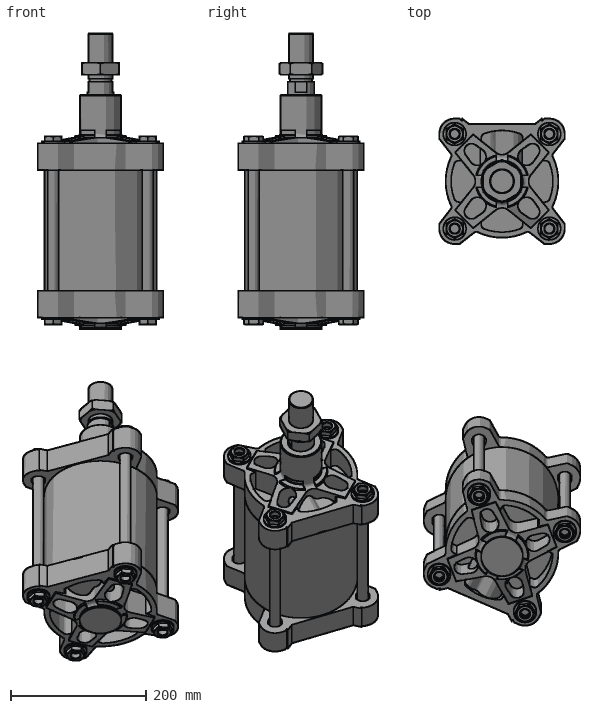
import cadquery as cq
import math

TOTAL_HEIGHT = 438.0
CAP_THICKNESS = 40.0
PILOT_RISE = 17.0
TUBE_LENGTH = 178.5
LOW_CAP_INNER_Z = PILOT_RISE + CAP_THICKNESS
TOP_CAP_INNER_Z = LOW_CAP_INNER_Z + TUBE_LENGTH
TOP_CAP_OUTER_Z = TOP_CAP_INNER_Z + CAP_THICKNESS
TUBE_DIAMETER = 167.0

CAP_DIAMETER = 167.5
CAP_HALF_WIDTH = 93.08
TIE_ROD_OFFSET = 70.0
LOBE_RADIUS = CAP_HALF_WIDTH - TIE_ROD_OFFSET
LOBE_FLAT_END = 63.0
LOBE_CORNER_FILLET = 1.8
LOBE_ROOT = (38.5, 74.0)
LOBE_ROOT_FILLET = 4.5
PORT_FLAT_Y = 85.0
PORT_FLAT_HALF_WIDTH = 49.0
PORT_FLAT_LOBE_X = 59.0
PORT_FLAT_BASE_Y = 44.0
TIE_ROD_CLEARANCE = 21.0

RIB_REACH = 79.3
RIB_END_HALF_WIDTH = 19.0
RIB_TAPER = 6.3
RIB_ROOT_FILLET = 15.5
RIB_END_RISE = 2.5
HUB_RISE = 11.0
HUB_RADIUS = 38.0
CONE_TOP_RADIUS = 39.5
CONE_TOP_RISE = 8.5

POCKET_DEPTH = 35.0
POCKET_RADIUS = 75.5
POCKET_HALF_WIDTH = 30.5
POCKET_CORNER = 7.0
SLOT_INNER_CENTRE = 51.2
SLOT_INNER_RADIUS = 12.5
SLOT_OUTER_CENTRE = 64.0
SLOT_OUTER_RADIUS = 10.5

PORT_BOSS_X = 12.3
PORT_BOSS_RADIUS = 18.0
CUSHION_BOSS_X = -20.0
CUSHION_BOSS_RADIUS = 12.3
BOSS_FILLET = 5.3
BOSS_START_Y = 17.5
BOSS_END_Y = 79.0

PILOT_DIAMETER = 62.0
PILOT_THICKNESS = 3.0
COLLAR_BOTTOM_RISE = 12.5
COLLAR_TOP_RISE = 19.3
NECK_RISE = PILOT_RISE - PILOT_THICKNESS
HUB_NECK_DIAMETER = 59.5
KEYWAY_WIDTH = 17.5
KEYWAY_FLOOR_RISE = CONE_TOP_RISE
KEYWAY_FILLET = 6.0
BARREL_DIAMETER = 61.5
BARREL_TOP_Z = 347.0
BARREL_CHAMFER = 1.5

TIE_ROD_DIAMETER = 16.0
WASHER_DIAMETER = 33.7
WASHER_THICKNESS = 2.5
TIE_NUT_RISE = 10.5
TIE_NUT_FLATS = 25.0
TIE_NUT_CHAMFER_DIAMETER = 24.0
TIE_ROD_BORE = 14.0
TIE_ROD_BORE_DEPTH = 12.0
TIE_ROD_BORE_CHAMFER = 1.0

ROD_DIAMETER = 40.0
ROD_SHOULDER_Z = 366.5
ROD_FLATS = 36.0
ROD_FLATS_BOTTOM_Z = 351.0
NECK_DIAMETER = 33.5
NECK_TOP_Z = 370.5
THREAD_DIAMETER = 36.0
THREAD_CHAMFER = 1.0

LOCK_NUT_FLATS = 55.0
LOCK_NUT_BOTTOM_Z = 376.5
LOCK_NUT_HEIGHT = 18.0
LOCK_NUT_CHAMFER_DIAMETER = 58.5

CHAMFER_SLOPE = math.tan(math.radians(30))
QUARTER_TURNS = (0, 90, 180, 270)
CORNERS = [(x, y) for x in (-TIE_ROD_OFFSET, TIE_ROD_OFFSET) for y in (-TIE_ROD_OFFSET, TIE_ROD_OFFSET)]


def cylinder(diameter, bottom, top):
    return cq.Workplane("XY").workplane(offset=bottom).circle(diameter / 2).extrude(top - bottom)


def fillet_uprights(body, places, radius):
    """Fillet the vertical edge of a body nearest to each (x, y) place."""
    height = body.val().Center().z
    for x, y in places:
        nearest = cq.selectors.NearestToPointSelector((x, y, height))
        body = body.edges("|Z").edges(nearest).fillet(radius)
    return body


def hexagon(flats, chamfer_diameter, bottom, top, chamfer_bottom):
    """Hexagonal prism with flats facing X and its corners chamfered at 30 degrees."""
    corner_radius = flats / math.sqrt(3)
    face_radius = chamfer_diameter / 2
    drop = (corner_radius - face_radius) * CHAMFER_SLOPE
    profile = cq.Workplane("XZ").moveTo(0, bottom)
    if chamfer_bottom:
        profile = profile.lineTo(face_radius, bottom).lineTo(corner_radius, bottom + drop)
    else:
        profile = profile.lineTo(corner_radius, bottom)
    profile = profile.lineTo(corner_radius, top - drop).lineTo(face_radius, top).lineTo(0, top)
    envelope = profile.close().revolve()
    prism = (
        cq.Workplane("XY").workplane(offset=bottom)
        .polygon(6, 2 * corner_radius).extrude(top - bottom)
        .rotate((0, 0, 0), (0, 0, 1), 30)
    )
    return prism.intersect(envelope)



def cap_plate():
    """Round plate with four corner lobes and a flat on the +Y side."""
    root_x, root_y = LOBE_ROOT
    middle = TIE_ROD_OFFSET + LOBE_RADIUS * math.sqrt(0.5)
    lobe = (
        cq.Workplane("XY").moveTo(0, 0)
        .lineTo(root_y, root_x)
        .lineTo(CAP_HALF_WIDTH, LOBE_FLAT_END)
        .lineTo(CAP_HALF_WIDTH, TIE_ROD_OFFSET)
        .threePointArc((middle, middle), (TIE_ROD_OFFSET, CAP_HALF_WIDTH))
        .lineTo(LOBE_FLAT_END, CAP_HALF_WIDTH)
        .lineTo(root_x, root_y)
        .close().extrude(CAP_THICKNESS)
    )
    lobe = fillet_uprights(
        lobe, [(CAP_HALF_WIDTH, LOBE_FLAT_END), (LOBE_FLAT_END, CAP_HALF_WIDTH)], LOBE_CORNER_FILLET
    )
    plate = cylinder(CAP_DIAMETER, 0, CAP_THICKNESS)
    for turn in QUARTER_TURNS:
        plate = plate.union(lobe.rotate((0, 0, 0), (0, 0, 1), turn))
    roots = [(sx * a, sy * b) for a, b in (LOBE_ROOT, LOBE_ROOT[::-1]) for sx in (-1, 1) for sy in (-1, 1)]
    plate = fillet_uprights(plate, roots, LOBE_ROOT_FILLET)
    flat = (
        cq.Workplane("XY")
        .polyline([
            (-PORT_FLAT_LOBE_X, PORT_FLAT_BASE_Y),
            (PORT_FLAT_LOBE_X, PORT_FLAT_BASE_Y),
            (PORT_FLAT_LOBE_X, CAP_HALF_WIDTH),
            (PORT_FLAT_HALF_WIDTH, PORT_FLAT_Y),
            (-PORT_FLAT_HALF_WIDTH, PORT_FLAT_Y),
            (-PORT_FLAT_LOBE_X, CAP_HALF_WIDTH),
        ])
        .close().extrude(CAP_THICKNESS)
    )
    return plate.union(flat)


def rib_cross(height):
    """Prism of the four diagonal ribs, widening inward and filleted where they meet."""
    inward_slope = math.tan(math.radians(45 - RIB_TAPER))
    corner_x = (RIB_REACH - RIB_END_HALF_WIDTH) * math.sqrt(0.5)
    corner_y = (RIB_REACH + RIB_END_HALF_WIDTH) * math.sqrt(0.5)
    root = corner_y - corner_x * inward_slope
    points = []
    for turn in QUARTER_TURNS:
        c = math.cos(math.radians(turn))
        s = math.sin(math.radians(turn))
        for x, y in ((corner_y, corner_x), (corner_x, corner_y), (0, root)):
            points.append((x * c - y * s, x * s + y * c))
    cross = cq.Workplane("XY").polyline(points).close().extrude(height)
    return fillet_uprights(cross, points[2::3], RIB_ROOT_FILLET)


def raised_cone():
    """Shallow cone that gives the ribs their sloping top, with the flat hub on it."""
    slope = (CONE_TOP_RISE - RIB_END_RISE) / (RIB_REACH - CONE_TOP_RADIUS)
    outer_radius = CAP_HALF_WIDTH
    outer_rise = RIB_END_RISE - slope * (outer_radius - RIB_REACH)
    return (
        cq.Workplane("XZ")
        .moveTo(0, 0)
        .lineTo(outer_radius, 0)
        .lineTo(outer_radius, CAP_THICKNESS + outer_rise)
        .lineTo(CONE_TOP_RADIUS, CAP_THICKNESS + CONE_TOP_RISE)
        .lineTo(HUB_RADIUS, CAP_THICKNESS + HUB_RISE)
        .lineTo(0, CAP_THICKNESS + HUB_RISE)
        .close().revolve()
    )


def pocket(cross):
    """Pocket on the +Y side, bounded by the two ribs next to it."""
    floor = CAP_THICKNESS - POCKET_DEPTH
    side_y = math.sqrt(POCKET_RADIUS ** 2 - POCKET_HALF_WIDTH ** 2)
    blank = (
        cq.Workplane("XY").workplane(offset=floor)
        .moveTo(-POCKET_HALF_WIDTH, 0)
        .lineTo(POCKET_HALF_WIDTH, 0)
        .lineTo(POCKET_HALF_WIDTH, side_y)
        .threePointArc((0, POCKET_RADIUS), (-POCKET_HALF_WIDTH, side_y))
        .close().extrude(POCKET_DEPTH)
        .edges("|Z").edges(">Y").fillet(POCKET_CORNER)
    )
    return cq.Workplane(blank.cut(cross).solids(">Y").val())


def rib_slot():
    """Slot in the rib toward +X +Y with two round ends, the larger one at the hub."""
    floor = CAP_THICKNESS - POCKET_DEPTH
    sine = (SLOT_INNER_RADIUS - SLOT_OUTER_RADIUS) / (SLOT_OUTER_CENTRE - SLOT_INNER_CENTRE)
    cosine = math.sqrt(1 - sine ** 2)
    inner_x = SLOT_INNER_CENTRE + SLOT_INNER_RADIUS * sine
    inner_y = SLOT_INNER_RADIUS * cosine
    outer_x = SLOT_OUTER_CENTRE + SLOT_OUTER_RADIUS * sine
    outer_y = SLOT_OUTER_RADIUS * cosine
    slot = (
        cq.Workplane("XY").workplane(offset=floor)
        .moveTo(inner_x, -inner_y)
        .lineTo(outer_x, -outer_y)
        .threePointArc((SLOT_OUTER_CENTRE + SLOT_OUTER_RADIUS, 0), (outer_x, outer_y))
        .lineTo(inner_x, inner_y)
        .threePointArc((SLOT_INNER_CENTRE - SLOT_INNER_RADIUS, 0), (inner_x, -inner_y))
        .close().extrude(POCKET_DEPTH + HUB_RISE)
    )
    return slot.rotate((0, 0, 0), (0, 0, 1), 45)


def port_bosses():
    """Port and cushion bosses with a filleted web between them."""
    axis_z = CAP_THICKNESS / 2
    length = BOSS_END_Y - BOSS_START_Y
    spacing = PORT_BOSS_X - CUSHION_BOSS_X
    to_cushion = CUSHION_BOSS_RADIUS + BOSS_FILLET
    to_port = PORT_BOSS_RADIUS + BOSS_FILLET
    along = (to_cushion ** 2 - to_port ** 2 + spacing ** 2) / (2 * spacing)
    rise = math.sqrt(to_cushion ** 2 - along ** 2)
    fillet_x = CUSHION_BOSS_X + along

    def bar(x, z, radius):
        plane = cq.Workplane("XZ", origin=(0, BOSS_START_Y, 0))
        return plane.center(x, z).circle(radius).extrude(-length)

    web = (
        cq.Workplane("XZ", origin=(0, BOSS_START_Y, 0))
        .polyline([
            (CUSHION_BOSS_X, axis_z),
            (fillet_x, axis_z + rise),
            (PORT_BOSS_X, axis_z),
            (fillet_x, axis_z - rise),
        ])
        .close().extrude(-length)
    )
    for side in (-1, 1):
        web = web.cut(bar(fillet_x, axis_z + side * rise, BOSS_FILLET))
    bosses = web.union(bar(CUSHION_BOSS_X, axis_z, CUSHION_BOSS_RADIUS))
    return bosses.union(bar(PORT_BOSS_X, axis_z, PORT_BOSS_RADIUS))


def keyway_bars(height):
    """Cross of two bars that sets the width of the four keyways."""
    bar = cq.Workplane("XY").rect(2 * RIB_REACH, KEYWAY_WIDTH).extrude(height)
    return bar.union(bar.rotate((0, 0, 0), (0, 0, 1), 90))


def hub_neck():
    """Neck on the hub, widened at the keyways to carry their round inner ends."""
    neck = cylinder(HUB_NECK_DIAMETER, CAP_THICKNESS, CAP_THICKNESS + NECK_RISE)
    root_top = CAP_THICKNESS + KEYWAY_FLOOR_RISE + KEYWAY_FILLET
    roots = cylinder(BARREL_DIAMETER + 2 * KEYWAY_FILLET, CAP_THICKNESS, root_top)
    return neck.union(roots.intersect(keyway_bars(root_top)))


def keyways():
    """Four keyways across the hub and barrel collar, each with a round inner end."""
    inner = BARREL_DIAMETER / 2
    floor = CAP_THICKNESS + KEYWAY_FLOOR_RISE
    top = CAP_THICKNESS + COLLAR_TOP_RISE
    bend = KEYWAY_FILLET * (1 - math.sqrt(0.5))
    ring = (
        cq.Workplane("XZ")
        .moveTo(inner, top)
        .lineTo(inner, floor + KEYWAY_FILLET)
        .threePointArc((inner + bend, floor + bend), (inner + KEYWAY_FILLET, floor))
        .lineTo(RIB_REACH, floor)
        .lineTo(RIB_REACH, top)
        .close().revolve()
    )
    return ring.intersect(keyway_bars(top))


def end_cap():
    cross = rib_cross(CAP_THICKNESS + HUB_RISE)
    cap = cap_plate().union(cross.intersect(raised_cone()))
    one_pocket = pocket(cross)
    one_slot = rib_slot()
    openings = one_pocket.union(one_slot)
    for turn in QUARTER_TURNS[1:]:
        openings = openings.union(one_pocket.rotate((0, 0, 0), (0, 0, 1), turn))
        openings = openings.union(one_slot.rotate((0, 0, 0), (0, 0, 1), turn))
    cap = cap.cut(openings.cut(port_bosses()))
    cap = cap.union(hub_neck()).cut(keyways())
    holes = cq.Workplane("XY").pushPoints(CORNERS).circle(TIE_ROD_CLEARANCE / 2).extrude(CAP_THICKNESS)
    return cap.cut(holes)


def tie_rod_bore():
    """Blind bore with a chamfered mouth in the end of a tie rod, with the cap face at z = 0."""
    radius = TIE_ROD_BORE / 2
    return (
        cq.Workplane("XZ")
        .moveTo(0, TIE_NUT_RISE - TIE_ROD_BORE_DEPTH)
        .lineTo(radius, TIE_NUT_RISE - TIE_ROD_BORE_DEPTH)
        .lineTo(radius, TIE_NUT_RISE - TIE_ROD_BORE_CHAMFER)
        .lineTo(radius + TIE_ROD_BORE_CHAMFER, TIE_NUT_RISE)
        .lineTo(0, TIE_NUT_RISE)
        .close().revolve()
    )


def tie_rod():
    """Tie rod on the Z axis with a washer and nut at each cap."""
    washer = cylinder(WASHER_DIAMETER, 0, WASHER_THICKNESS)
    nut = hexagon(TIE_NUT_FLATS, TIE_NUT_CHAMFER_DIAMETER, WASHER_THICKNESS, TIE_NUT_RISE, False)
    hardware = washer.union(nut)
    bore = tie_rod_bore()
    rod = cylinder(TIE_ROD_DIAMETER, PILOT_RISE - TIE_NUT_RISE, TOP_CAP_OUTER_Z + TIE_NUT_RISE)
    rod = rod.union(hardware.translate((0, 0, TOP_CAP_OUTER_Z)))
    rod = rod.union(hardware.mirror("XY").translate((0, 0, PILOT_RISE)))
    rod = rod.cut(bore.translate((0, 0, TOP_CAP_OUTER_Z)))
    return rod.cut(bore.mirror("XY").translate((0, 0, PILOT_RISE)))


def barrel():
    """Barrel that guides the piston rod, with a keyed collar at its foot."""
    foot = TOP_CAP_OUTER_Z + COLLAR_BOTTOM_RISE
    sleeve = cylinder(BARREL_DIAMETER, foot, BARREL_TOP_Z).faces(">Z").edges().chamfer(BARREL_CHAMFER)
    collar = cylinder(PILOT_DIAMETER, foot, TOP_CAP_OUTER_Z + COLLAR_TOP_RISE)
    return sleeve.union(collar.cut(keyways().translate((0, 0, TOP_CAP_INNER_Z))))


def make_housing():
    """Both caps, the tube, the tie rods, the barrel and the pilot disc."""
    cap = end_cap()
    top_cap = cap.translate((0, 0, TOP_CAP_INNER_Z))
    low_cap = cap.mirror("XY").translate((0, 0, LOW_CAP_INNER_Z))
    tube = cylinder(TUBE_DIAMETER, LOW_CAP_INNER_Z, TOP_CAP_INNER_Z)
    pilot = cylinder(PILOT_DIAMETER, 0, PILOT_THICKNESS)
    body = top_cap.union(low_cap).union(tube).union(barrel()).union(pilot)
    rod = tie_rod()
    for x, y in CORNERS:
        body = body.union(rod.translate((x, y, 0)))
    return body.cut(cylinder(ROD_DIAMETER, TOP_CAP_INNER_Z, BARREL_TOP_Z))


def make_piston_rod():
    rod = cylinder(ROD_DIAMETER, TOP_CAP_INNER_Z, ROD_SHOULDER_Z)
    flatted = (
        cq.Workplane("XY").workplane(offset=ROD_FLATS_BOTTOM_Z)
        .rect(ROD_FLATS, ROD_DIAMETER).extrude(ROD_SHOULDER_Z - ROD_FLATS_BOTTOM_Z)
    )
    rod = rod.intersect(flatted.union(cylinder(ROD_DIAMETER, TOP_CAP_INNER_Z, ROD_FLATS_BOTTOM_Z)))
    thread = cylinder(THREAD_DIAMETER, NECK_TOP_Z, TOTAL_HEIGHT).faces(">Z").edges().chamfer(THREAD_CHAMFER)
    return rod.union(cylinder(NECK_DIAMETER, ROD_SHOULDER_Z, NECK_TOP_Z)).union(thread)


def make_lock_nut():
    top = LOCK_NUT_BOTTOM_Z + LOCK_NUT_HEIGHT
    blank = hexagon(LOCK_NUT_FLATS, LOCK_NUT_CHAMFER_DIAMETER, LOCK_NUT_BOTTOM_Z, top, True)
    return blank.cut(cylinder(THREAD_DIAMETER, LOCK_NUT_BOTTOM_Z, top))


housing = make_housing()
piston_rod = make_piston_rod()
lock_nut = make_lock_nut()

result = cq.Compound.makeCompound([housing.val(), piston_rod.val(), lock_nut.val()])